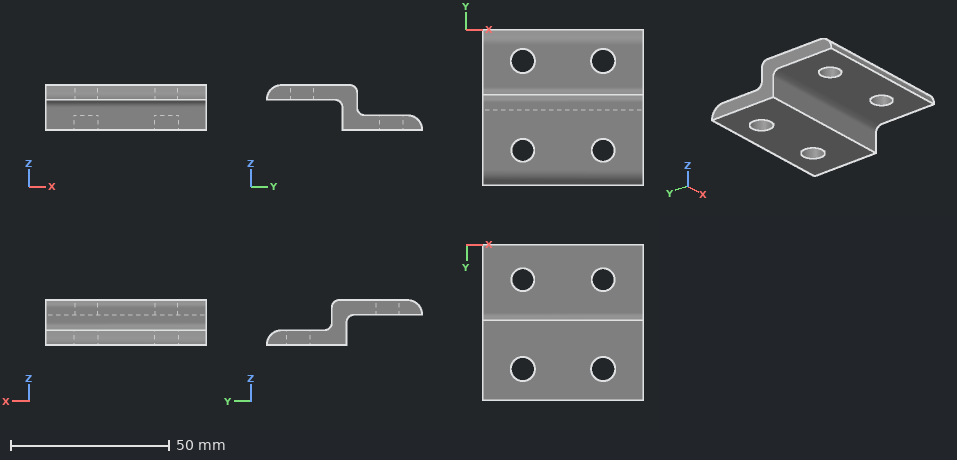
import cadquery as cq

length = 50.8
width = 49.2
height = 14.3
thickness = 4.7
lower_plate_width = 25.3
bend_radius = thickness / 2

hole_spacing = length / 2
rear_hole_diameter = 7.55
rear_hole_edge_distance = 9.9
front_hole_diameter = 7.15
front_hole_edge_distance = 11.05

rear = width / 2
front = -width / 2
web_front = rear - lower_plate_width
web_rear = web_front + thickness
step_height = height - thickness


def step_profile():
    """Z-shaped section in the YZ plane, with a quarter-round on each outer edge."""
    return (
        cq.Workplane("YZ")
        .workplane(offset=-length / 2)
        .moveTo(rear, 0)
        .radiusArc((rear - thickness, thickness), -thickness)
        .lineTo(web_rear + bend_radius, thickness)
        .radiusArc((web_rear, thickness + bend_radius), bend_radius)
        .lineTo(web_rear, height - bend_radius)
        .radiusArc((web_rear - bend_radius, height), -bend_radius)
        .lineTo(front + thickness, height)
        .radiusArc((front, step_height), -thickness)
        .lineTo(web_front - bend_radius, step_height)
        .radiusArc((web_front, step_height - bend_radius), bend_radius)
        .lineTo(web_front, 0)
        .close()
    )


def hole_pair(y, diameter):
    """Two vertical through-hole cutters, symmetric about X = 0."""
    return (
        cq.Workplane("XY")
        .pushPoints([(-hole_spacing / 2, y), (hole_spacing / 2, y)])
        .circle(diameter / 2)
        .extrude(height)
    )


body = step_profile().extrude(length)
rear_holes = hole_pair(rear - rear_hole_edge_distance, rear_hole_diameter)
front_holes = hole_pair(front + front_hole_edge_distance, front_hole_diameter)
result = body.cut(rear_holes).cut(front_holes)